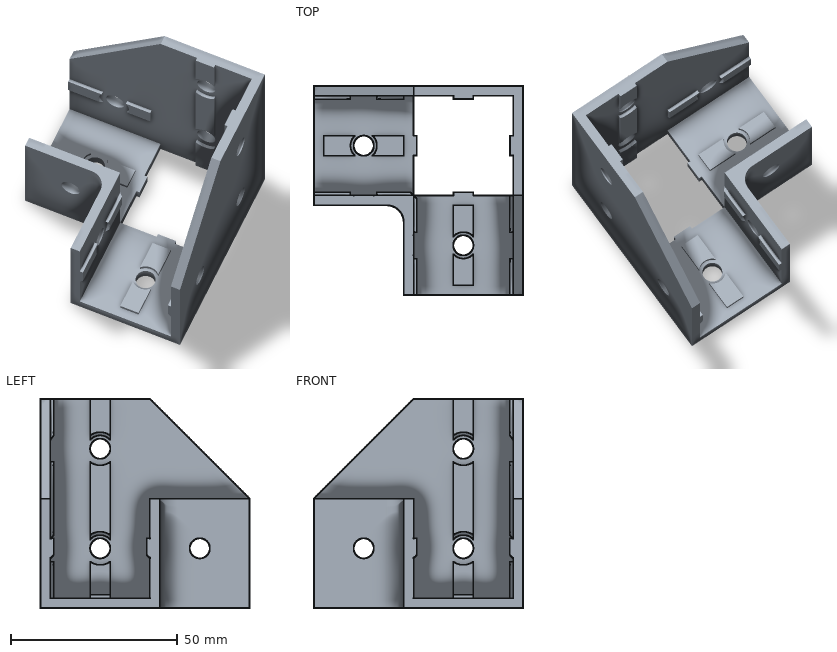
import cadquery as cq

PROFILE = 30.0
WALL = 3.0
HOLE_DIAMETER = 6.0
INNER_FILLET = 5.0

RIB_WIDTH = 6.0
RIB_HEIGHT = 1.0
RIB_CLEARANCE = 5.0
PAD_CLEARANCE = 4.0
PAD_INSET = 3.0

SIZE = 2 * PROFILE + WALL
ARM_LENGTH = PROFILE
INNER_WALL = PROFILE
OUTER_WALL = 2 * PROFILE
LOW_HEIGHT = WALL + PROFILE
ARM_HOLE = ARM_LENGTH / 2
CHANNEL_CENTER = INNER_WALL + PROFILE / 2
LOWER_HOLE_Z = WALL + PROFILE / 2
UPPER_HOLE_Z = LOWER_HOLE_Z + PROFILE
HALF_RIB = RIB_WIDTH / 2
DIAGONAL = (1, -1, 0)


def box(x_range, y_range, z_range):
    """Box between the given limits."""
    (x0, x1), (y0, y1), (z0, z1) = x_range, y_range, z_range
    return cq.Workplane("XY").box(x1 - x0, y1 - y0, z1 - z0, centered=False).translate((x0, y0, z0))


def mirrored(shape):
    """The same shape for the other arm, with X and Y swapped."""
    return shape.mirror(DIAGONAL)


def cylinder_y(radius, x, z, y0, y1):
    """Cylinder along Y from y0 to y1."""
    return cq.Workplane("XZ", origin=(x, y0, z)).circle(radius).extrude(y0 - y1)


def cylinder_z(radius, x, y, z0, z1):
    """Cylinder along Z from z0 to z1."""
    return cq.Workplane("XY", origin=(x, y, z0)).circle(radius).extrude(z1 - z0)


def shell():
    """L-shaped block, hollowed by the three channels and beveled above the arms."""
    notch_side = INNER_WALL - WALL
    notch = box((0, notch_side), (0, notch_side), (0, SIZE))
    notch = notch.edges("|Z and >X and >Y").fillet(INNER_FILLET)
    body = box((0, SIZE), (0, SIZE), (0, SIZE)).cut(notch)

    channel = (INNER_WALL, OUTER_WALL)
    arm_channel = box((0, OUTER_WALL), channel, (WALL, SIZE))
    upright_channel = box(channel, channel, (0, SIZE))
    body = body.cut(arm_channel).cut(mirrored(arm_channel)).cut(upright_channel)

    low_walls = box((0, OUTER_WALL), (0, OUTER_WALL), (LOW_HEIGHT, SIZE))
    bevel = (
        cq.Workplane("XZ")
        .polyline([(0, LOW_HEIGHT), (0, SIZE), (ARM_LENGTH, SIZE)])
        .close()
        .extrude(-SIZE)
    )
    return body.cut(low_walls).cut(bevel).cut(mirrored(bevel))


def bolt_holes():
    """Holes of the X arm and the back wall."""
    radius = HOLE_DIAMETER / 2
    through_arm = cylinder_y(radius, ARM_HOLE, LOWER_HOLE_Z, 0, SIZE)
    through_floor = cylinder_z(radius, ARM_HOLE, CHANNEL_CENTER, 0, WALL + RIB_HEIGHT)
    holes = through_arm.union(through_floor)
    for z in (LOWER_HOLE_Z, UPPER_HOLE_Z):
        holes = holes.union(cylinder_y(radius, CHANNEL_CENTER, z, OUTER_WALL - RIB_HEIGHT, SIZE))
    return holes


def arm_rib(wall_y, inward, length):
    """Rib along X on an arm wall, with a 45 degree underside and a gap at the hole."""
    tip_y = wall_y + inward * RIB_HEIGHT
    bottom = LOWER_HOLE_Z - HALF_RIB
    top = LOWER_HOLE_Z + HALF_RIB
    rib = (
        cq.Workplane("YZ")
        .polyline([(wall_y, bottom), (tip_y, bottom + RIB_HEIGHT), (tip_y, top), (wall_y, top)])
        .close()
        .extrude(length)
    )
    return rib.cut(cylinder_y(RIB_CLEARANCE, ARM_HOLE, LOWER_HOLE_Z, wall_y, tip_y))


def inner_rib():
    """Rib on the low inner wall, mitered at the end next to the upright channel."""
    rib = arm_rib(INNER_WALL, 1, ARM_LENGTH)
    miter = (
        cq.Workplane("XY")
        .moveTo(ARM_LENGTH, INNER_WALL)
        .lineTo(ARM_LENGTH, INNER_WALL + RIB_HEIGHT)
        .lineTo(ARM_LENGTH - RIB_HEIGHT, INNER_WALL + RIB_HEIGHT)
        .close()
        .extrude(LOW_HEIGHT)
    )
    return rib.cut(miter)


def upright_gap(z):
    """Round gap in an upright rib; its upper half is a 45 degree cone."""
    tip_y = OUTER_WALL - RIB_HEIGHT
    gap = cylinder_y(RIB_CLEARANCE, CHANNEL_CENTER, z, tip_y, OUTER_WALL)
    lower_half = box((INNER_WALL, OUTER_WALL), (tip_y, OUTER_WALL), (z - RIB_CLEARANCE, z))
    cone = (
        cq.Workplane("XZ", origin=(CHANNEL_CENTER, tip_y, z))
        .circle(RIB_CLEARANCE)
        .workplane(offset=-RIB_HEIGHT)
        .circle(RIB_CLEARANCE - RIB_HEIGHT)
        .loft(ruled=True)
    )
    return cone.union(gap.intersect(lower_half))


def upright_rib():
    """Full-height rib on the back wall, with a gap at each hole."""
    x_range = (CHANNEL_CENTER - HALF_RIB, CHANNEL_CENTER + HALF_RIB)
    rib = box(x_range, (OUTER_WALL - RIB_HEIGHT, OUTER_WALL), (0, SIZE))
    for z in (LOWER_HOLE_Z, UPPER_HOLE_Z):
        rib = rib.cut(upright_gap(z))
    return rib


def floor_pad():
    """Pad on the floor of the X arm, with a round gap at the hole."""
    y_range = (CHANNEL_CENTER - HALF_RIB, CHANNEL_CENTER + HALF_RIB)
    top = WALL + RIB_HEIGHT
    pad = box((PAD_INSET, ARM_LENGTH - PAD_INSET), y_range, (WALL, top))
    return pad.cut(cylinder_z(PAD_CLEARANCE, ARM_HOLE, CHANNEL_CENTER, WALL, top))


def floor_tab():
    """Tab on the floor edge that enters the slot of the upright profile."""
    y_range = (CHANNEL_CENTER - HALF_RIB, CHANNEL_CENTER + HALF_RIB)
    return box((ARM_LENGTH, ARM_LENGTH + RIB_HEIGHT), y_range, (0, WALL))


result = shell()
for feature in (inner_rib(), upright_rib(), floor_pad(), floor_tab()):
    result = result.union(feature).union(mirrored(feature))

result = result.union(arm_rib(OUTER_WALL, -1, ARM_LENGTH - PAD_INSET))
result = result.union(mirrored(arm_rib(OUTER_WALL, -1, ARM_LENGTH)))

result = result.cut(bolt_holes()).cut(mirrored(bolt_holes()))